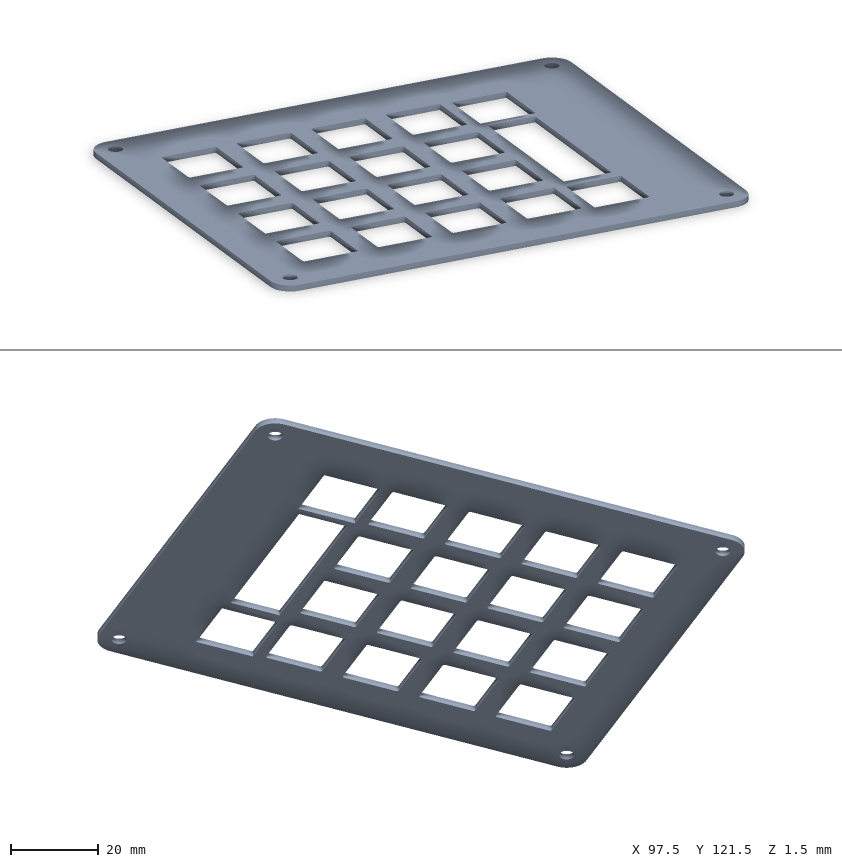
import cadquery as cq

plate_width = 97.5
plate_length = 121.5
plate_thickness = 1.5
corner_radius = 5.0

screw_hole_diameter = 3.4
screw_spacing_x = plate_width - 2 * corner_radius
screw_spacing_y = plate_length - 2 * corner_radius

key_size = 14.0
key_corner_radius = 0.5
key_pitch = 19.1
key_columns = 4
key_rows = 4
key_grid_x = 1.0
key_grid_y = -13.1

top_row_y = 32.3
knob_width = 14.5
knob_height = 14.1
knob_spacing = (key_columns - 1) * key_pitch
knob_row_x = 1.6
display_width = 38.2
display_height = 12.2
display_x = 1.1


def make_plate():
    """Flat plate with rounded corners, centred on the origin in X and Y."""
    blank = cq.Workplane("XY").box(
        plate_width, plate_length, plate_thickness, centered=(True, True, False)
    )
    return blank.edges("|Z").fillet(corner_radius)


def screw_holes():
    return (
        cq.Workplane("XY")
        .rarray(screw_spacing_x, screw_spacing_y, 2, 2)
        .circle(screw_hole_diameter / 2)
        .extrude(plate_thickness)
    )


def key_openings():
    return (
        cq.Workplane("XY")
        .center(key_grid_x, key_grid_y)
        .rarray(key_pitch, key_pitch, key_columns, key_rows)
        .rect(key_size, key_size)
        .extrude(plate_thickness)
        .edges("|Z")
        .fillet(key_corner_radius)
    )


def knob_openings():
    return (
        cq.Workplane("XY")
        .center(knob_row_x, top_row_y)
        .rarray(knob_spacing, 1.2, 2, 1)
        .rect(knob_width, knob_height)
        .extrude(plate_thickness)
    )


def display_window():
    return (
        cq.Workplane("XY")
        .center(display_x, top_row_y)
        .rect(display_width, display_height)
        .extrude(plate_thickness)
    )


result = (
    make_plate()
    .cut(screw_holes())
    .cut(key_openings())
    .cut(knob_openings())
    .cut(display_window())
)